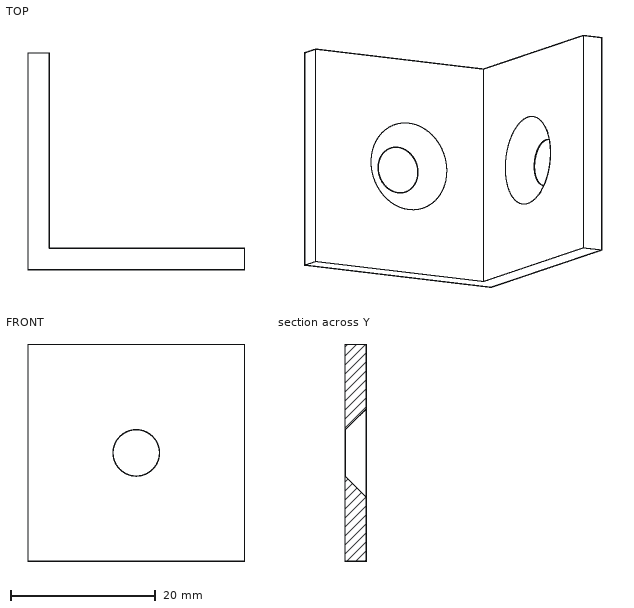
import cadquery as cq
import math

leg_length = 30.0
height = 30.0
thickness = 3.0
hole_diameter = 6.4
countersink_diameter = 12.2
countersink_angle = 90.0

hole_radius = hole_diameter / 2
countersink_radius = countersink_diameter / 2
countersink_depth = (countersink_radius - hole_radius) / math.tan(math.radians(countersink_angle / 2))
hole_offset = leg_length / 2
hole_height = height / 2


def make_angle():
    """L-section with its outer corner on the Z axis."""
    return (
        cq.Workplane("XY")
        .moveTo(0, 0)
        .lineTo(leg_length, 0)
        .lineTo(leg_length, thickness)
        .lineTo(thickness, thickness)
        .lineTo(thickness, leg_length)
        .lineTo(0, leg_length)
        .close()
        .extrude(height)
    )


def cut_countersunk_hole(body, outer_center, inward):
    """Cut a through hole from a leg's outer face, countersunk from its inner face."""
    start = cq.Vector(*outer_center)
    axis = cq.Vector(*inward)
    bore = cq.Solid.makeCylinder(hole_radius, thickness, start, axis)
    countersink = cq.Solid.makeCone(
        countersink_radius,
        hole_radius,
        countersink_depth,
        start + axis * thickness,
        axis * -1,
    )
    return body.cut(bore).cut(countersink)


result = make_angle()
result = cut_countersunk_hole(result, (hole_offset, 0, hole_height), (0, 1, 0))
result = cut_countersunk_hole(result, (0, hole_offset, hole_height), (1, 0, 0))